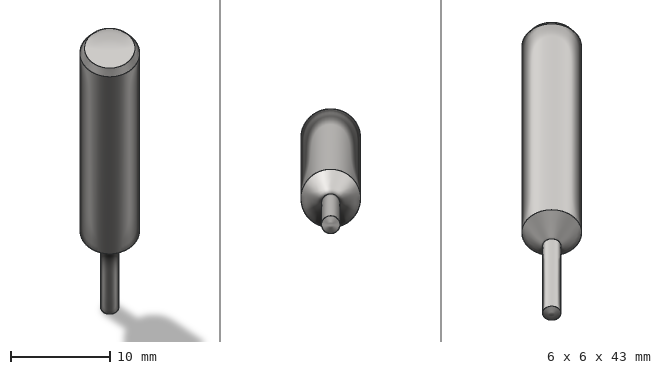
import cadquery as cq
import math

total_length = 43.0
shank_diameter = 6.0
shank_length = 30.0
chamfer_height = 0.8
chamfer_angle = 30.0

cutter_diameter = 1.85
tip_angle = 140.0
taper_angle = 45.0

shank_radius = shank_diameter / 2
cutter_radius = cutter_diameter / 2
chamfer_width = chamfer_height * math.tan(math.radians(chamfer_angle))
taper_height = (shank_radius - cutter_radius) / math.tan(math.radians(taper_angle))
tip_height = cutter_radius / math.tan(math.radians(tip_angle / 2))

top_z = total_length / 2
tip_z = -total_length / 2
shank_bottom_z = top_z - shank_length
neck_z = shank_bottom_z - taper_height


def revolve_about_z(profile_points):
    """Turn a closed radius-height profile about the Z axis."""
    profile = cq.Workplane("XZ").polyline(profile_points).close()
    return profile.revolve(360, (0, 0, 0), (0, 1, 0))


def make_shank():
    """Round shank with a chamfered top and a conical taper down to the cutter."""
    return revolve_about_z([
        (0, top_z),
        (shank_radius - chamfer_width, top_z),
        (shank_radius, top_z - chamfer_height),
        (shank_radius, shank_bottom_z),
        (cutter_radius, neck_z),
        (0, neck_z),
    ])


def make_cutter():
    """Slender round cutter with a conical point, seated against the taper."""
    return revolve_about_z([
        (0, neck_z),
        (cutter_radius, neck_z),
        (cutter_radius, tip_z + tip_height),
        (0, tip_z),
    ])


shank = make_shank()
cutter = make_cutter()

result = cq.Compound.makeCompound([shank.val(), cutter.val()])